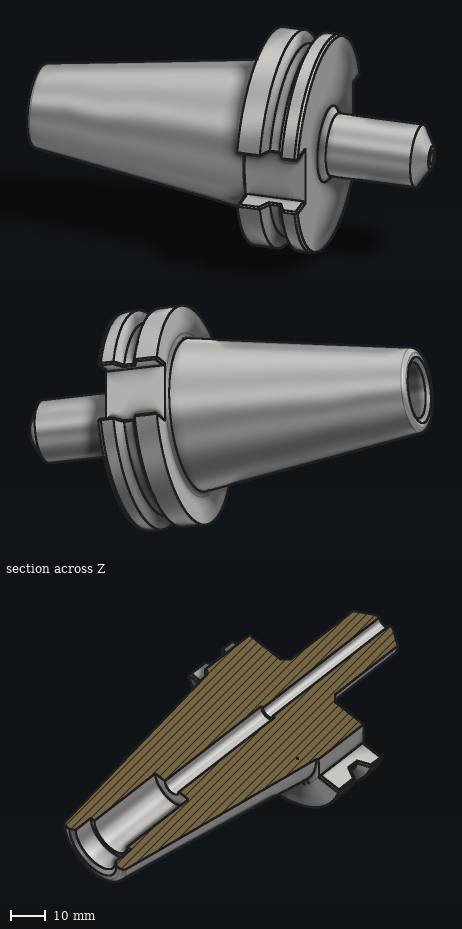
import cadquery as cq

overall_length = 118.3

small_end_radius = 12.4
gauge_radius = 44.5 / 2
gauge_x = 68.5
end_round = 1.1
end_face_radius = 10.9
end_round_bulge = 0.41

flange_start = 69.2
flange_end = 87.3
flange_radius = 63.5 / 2
root_radius = 23.8
root_sag = 0.18
groove_center = 79.3
groove_floor_width = 2.8
groove_mouth_width = 6.5
groove_floor_radius = 28.0
rim_chamfer_length = 1.0
rim_chamfer_depth = 0.4

shaft_radius = 18.3 / 2
shaft_base_radius = 11.1
shaft_base_length = 1.9
shaft_tip_length = 3.7
shaft_tip_radius = 3.4

slot_width = 16.1
slot_floor_front = 22.7
slot_floor_back = 23.9
slot_chamfer = 0.6

mouth_radius = 9.6
mouth_depth = 1.1
pilot_radius = 16.2 / 2
pilot_depth = 7.2
bore_radius = 13.4 / 2
bore_depth = 32.0
passage_radius = 5.6 / 2
passage_depth = 71.0
outlet_radius = 4.0 / 2


def revolve_about_x(outline):
    return outline.close().revolve(360, (0, 0, 0), (1, 0, 0))


def turned_body():
    round_mid = (end_round_bulge, small_end_radius - end_round_bulge)
    root_mid = (
        (gauge_x + flange_start) / 2 + root_sag,
        (gauge_radius + root_radius) / 2 - root_sag,
    )
    groove_mouth = groove_mouth_width / 2
    groove_floor = groove_floor_width / 2
    outline = (
        cq.Workplane("XY")
        .lineTo(0, end_face_radius)
        .threePointArc(round_mid, (end_round, small_end_radius))
        .lineTo(gauge_x, gauge_radius)
        .threePointArc(root_mid, (flange_start, root_radius))
        .lineTo(flange_start, flange_radius)
        .lineTo(groove_center - groove_mouth, flange_radius)
        .lineTo(groove_center - groove_floor, groove_floor_radius)
        .lineTo(groove_center + groove_floor, groove_floor_radius)
        .lineTo(groove_center + groove_mouth, flange_radius)
        .lineTo(flange_end - rim_chamfer_length, flange_radius)
        .lineTo(flange_end, flange_radius - rim_chamfer_depth)
        .lineTo(flange_end, shaft_base_radius)
        .lineTo(flange_end + shaft_base_length, shaft_radius)
        .lineTo(overall_length - shaft_tip_length, shaft_radius)
        .lineTo(overall_length, shaft_tip_radius)
        .lineTo(overall_length, 0)
    )
    return revolve_about_x(outline)


def stepped_bore():
    outline = (
        cq.Workplane("XY")
        .lineTo(0, mouth_radius)
        .lineTo(mouth_depth, pilot_radius)
        .lineTo(pilot_depth, pilot_radius)
        .lineTo(pilot_depth, bore_radius)
        .lineTo(bore_depth, bore_radius)
        .lineTo(bore_depth, passage_radius)
        .lineTo(passage_depth, passage_radius)
        .lineTo(passage_depth, outlet_radius)
        .lineTo(overall_length, outlet_radius)
        .lineTo(overall_length, 0)
    )
    return revolve_about_x(outline)


def drive_slot(side, floor):
    """Slot cutter on the side * Y side of the axis, with its floor at the given distance."""
    depth = flange_radius - floor
    return cq.Workplane("XY").box(
        flange_end - gauge_x, depth, slot_width, centered=(False, True, True)
    ).translate((gauge_x, side * (floor + depth / 2), 0))


def slot_edges(body):
    """Select the flange profile edges that border the walls of the drive slots."""
    tolerance = 0.0001
    walls = (-slot_width / 2, slot_width / 2)
    floors = (-slot_floor_front, slot_floor_back)
    found = []
    for edge in body.edges().vals():
        box = edge.BoundingBox()
        in_wall = any(abs(box.zmin - z) < tolerance and abs(box.zmax - z) < tolerance for z in walls)
        along_floor = any(abs(box.ymin - y) < tolerance and abs(box.ymax - y) < tolerance for y in floors)
        if in_wall and not along_floor:
            found.append(edge)
    return body.newObject(found)


body = turned_body().cut(drive_slot(-1, slot_floor_front)).cut(drive_slot(1, slot_floor_back))
body = slot_edges(body).chamfer(slot_chamfer)
result = body.cut(stepped_bore())